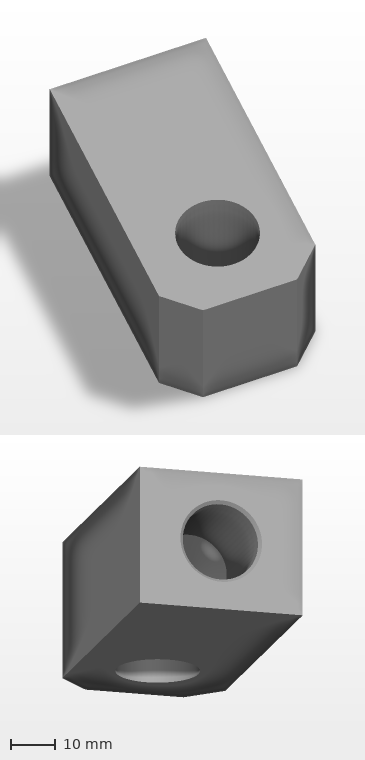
import cadquery as cq
import math

length = 71.4
width = 38.1
height = 31.8
corner_chamfer = 7.6

pin_diameter = 19.1
pin_x = length - width / 2

bore_diameter = 17.6
bore_mouth_diameter = 19.1
bore_depth = 26.4
drill_tip_angle = 118.0


def make_block():
    block = cq.Workplane("XY").box(length, width, height, centered=(False, True, True))
    return block.edges("|Z and >X").chamfer(corner_chamfer)


def make_pin_hole():
    return cq.Workplane("XY").center(pin_x, 0).circle(pin_diameter / 2).extrude(height, both=True)


def make_bore():
    """Revolve the half profile: countersunk mouth, straight wall, drill tip."""
    bore_radius = bore_diameter / 2
    mouth_radius = bore_mouth_diameter / 2
    mouth_depth = mouth_radius - bore_radius
    tip_depth = bore_radius / math.tan(math.radians(drill_tip_angle / 2))
    profile = (
        cq.Workplane("XY")
        .moveTo(0, 0)
        .lineTo(0, mouth_radius)
        .lineTo(mouth_depth, bore_radius)
        .lineTo(bore_depth, bore_radius)
        .lineTo(bore_depth + tip_depth, 0)
        .close()
    )
    return profile.revolve(360, (0, 0, 0), (1, 0, 0))


result = make_block().cut(make_pin_hole()).cut(make_bore())